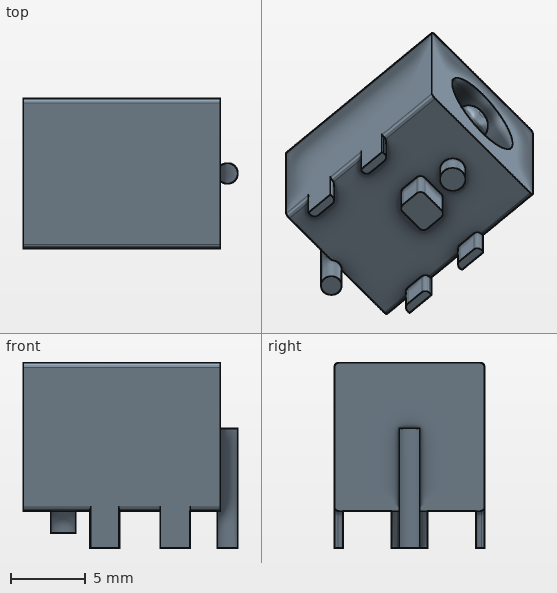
import cadquery as cq

body_length = 13.18
body_width = 10.05
body_height = 9.92
body_edge_radius = 0.3

socket_diameter = 6.0
socket_depth = 8.9
socket_height = body_height / 2
contact_diameter = 2.5
contact_tip_flat_diameter = 0.52
contact_recess = 0.07
contact_tip_radius = (contact_diameter - contact_tip_flat_diameter) / 2

leg_drop = 2.48
leg_width = 2.0
leg_corner_radius = 0.37
side_leg_thickness = 0.59
front_leg_x = 5.45
rear_leg_x = 10.17
bevel_along_x = 0.06
bevel_along_y = 0.11
centre_leg_span = 2.41

peg_diameter = 1.7
peg_x = 2.69
peg_drop = 1.48
pin_diameter = 1.4
pin_x = 14.36 - pin_diameter / 2
pin_top = 5.53


def make_body():
    body = cq.Workplane("XY").box(body_length, body_width, body_height, centered=(False, True, False))
    return body.edges("|X").fillet(body_edge_radius)


def rod_along_x(diameter, start, end):
    plane = cq.Workplane("YZ", origin=(start, 0, socket_height))
    return plane.circle(diameter / 2).extrude(end - start)


def make_contact():
    """Centre contact with a rounded tip, rooted in the socket floor."""
    contact = rod_along_x(contact_diameter, contact_recess, socket_depth)
    return contact.faces("<X").edges().fillet(contact_tip_radius)


def make_side_leg(x, bevelled):
    """Leg flush with the -Y wall, rounded on its inner edges."""
    leg = cq.Workplane("XY").box(
        leg_width, side_leg_thickness, leg_drop + body_edge_radius, centered=(True, False, False)
    )
    leg = leg.edges("|Z and >Y").fillet(leg_corner_radius)
    if bevelled:
        half_width = leg_width / 2
        for side in (-1, 1):
            corner = cq.Workplane("XY").polyline(
                [
                    (side * half_width, 0),
                    (side * (half_width - bevel_along_x), 0),
                    (side * half_width, bevel_along_y),
                ]
            )
            leg = leg.cut(corner.close().extrude(leg_drop + body_edge_radius))
    return leg.translate((x, -body_width / 2, -leg_drop))


def make_centre_leg():
    leg = cq.Workplane("XY").box(leg_width, centre_leg_span, leg_drop, centered=(True, True, False))
    leg = leg.edges("|Z").fillet(leg_corner_radius)
    return leg.translate((front_leg_x, 0, -leg_drop))


def upright_cylinder(x, diameter, bottom, top):
    return cq.Workplane("XY", origin=(x, 0, bottom)).circle(diameter / 2).extrude(top - bottom)


result = make_body()
result = result.cut(rod_along_x(socket_diameter, 0, socket_depth))
result = result.union(make_contact())

for leg_x, has_bevel in ((front_leg_x, True), (rear_leg_x, False)):
    side_leg = make_side_leg(leg_x, has_bevel)
    result = result.union(side_leg).union(side_leg.mirror("XZ"))

result = result.union(make_centre_leg())
result = result.union(upright_cylinder(peg_x, peg_diameter, -peg_drop, 0))
result = result.union(upright_cylinder(pin_x, pin_diameter, -leg_drop, pin_top))